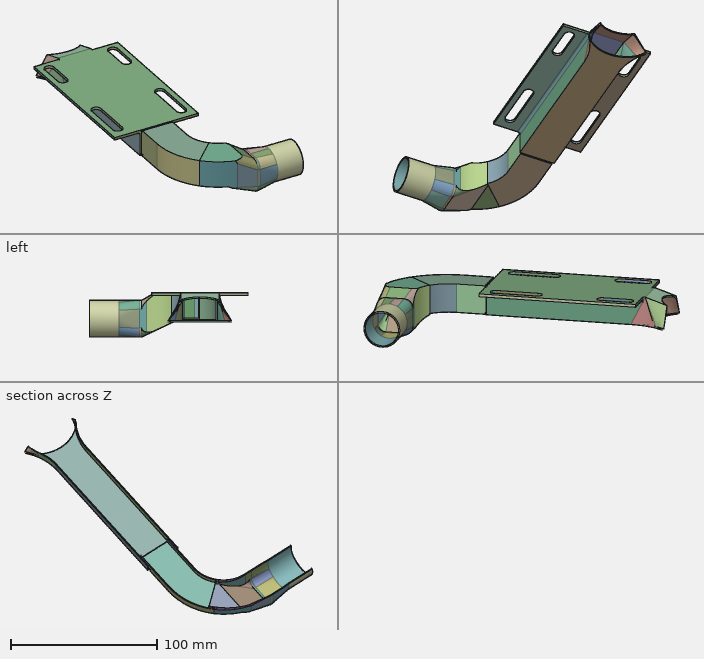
import cadquery as cq
import math


wall = 1.0
duct_width = 24.0
duct_height = 20.2
floor_z = -duct_height

plate_start = 17.0
plate_length = 110.5
plate_width = 66.0
plate_thickness = 2.0
plate_end = plate_start + plate_length
channel_width = duct_width + 2 * wall
side_y = channel_width / 2
side_fillet = 2.0

slot_width = 7.3
slot_offset_y = 25.1
short_slot_length = 25.5
short_slot_x = 33.5
long_slot_length = 36.4
long_slot_x = 103.2

crest_x = 15.2
mouth_top_z = -5.0
tip_y = 22.3
flare_bend_x = 6.1
flare_bend_y = 18.0
flare_end_x = 25.5
roof_notch_depth = 6.3
floor_notch_depth = 11.9

joint_gap = 1.2
spigot_depth = 9.9
elbow_start = plate_end + joint_gap

bend_radius = 36.4
bend_x = 148.6
bend_y = bend_radius
bend_angle = 90.0
seam_angle = bend_angle / 2
seam_width = 25.1
seam_spigot_angle = 5.0

pipe_diameter = 25.3
pipe_bore = 23.3
pipe_x = bend_x + bend_radius
pipe_bottom = -30.5
pipe_z = pipe_bottom + pipe_diameter / 2
pipe_end = 75.5
pipe_start = 55.3

drop_start = 18.2
drop_end = 39.7
neck_end = 41.3
drop_left = 164.7
drop_right = 195.5
drop_top = 7.1
corner_radius = 6.1
sharp_radius = 0.1

outlet_wall = 2 * wall
cover_wall = 3 * wall


def bend_point(angle, offset):
    """Point on the bend, turned by angle from its start, offset away from the bend centre."""
    turn = math.radians(angle)
    radius = bend_radius + offset
    return bend_x + radius * math.sin(turn), bend_y - radius * math.cos(turn)


def prism(outline, bottom, top):
    """Closes an outline and extrudes it between two heights."""
    return outline.close().extrude(top - bottom).translate((0, 0, bottom))


def box(x_range, y_range, z_range):
    """Box between two limits along each axis."""
    (x_min, x_max), (y_min, y_max), (z_min, z_max) = x_range, y_range, z_range
    corner = cq.Workplane("XY", origin=(x_min, y_min, z_min))
    return corner.box(x_max - x_min, y_max - y_min, z_max - z_min, centered=False)


def curved_duct(start_angle, end_angle, start_half, end_half, bottom, top):
    """Solid stretch of the bend whose half width changes from start_half to end_half."""
    middle = (start_angle + end_angle) / 2
    middle_half = (start_half + end_half) / 2
    outline = (
        cq.Workplane("XY")
        .moveTo(*bend_point(start_angle, start_half))
        .threePointArc(bend_point(middle, middle_half), bend_point(end_angle, end_half))
        .lineTo(*bend_point(end_angle, -end_half))
        .threePointArc(bend_point(middle, -middle_half), bend_point(start_angle, -start_half))
    )
    return prism(outline, bottom, top)



def slot(length, x, y):
    return (
        cq.Workplane("XY", origin=(x, y, -plate_thickness))
        .slot2D(length, slot_width)
        .extrude(plate_thickness)
    )


def mounting_plate():
    """Slotted plate with the outside of the channel below it, blended by two long fillets."""
    plate_y = (-plate_width / 2, plate_width / 2)
    plate = box((plate_start, plate_end), plate_y, (-plate_thickness, 0))
    channel = box((plate_start, plate_end), (-side_y, side_y), (floor_z, 0))
    body = plate.union(channel)
    for y in (-side_y, side_y):
        corner = cq.NearestToPointSelector((plate_start + plate_length / 2, y, -plate_thickness))
        body = body.edges(corner).fillet(side_fillet)
    for y in (-slot_offset_y, slot_offset_y):
        body = body.cut(slot(short_slot_length, short_slot_x, y))
        body = body.cut(slot(long_slot_length, long_slot_x, y))
    return body


def nozzle_form(inset, end_x):
    """Solid form of the nozzle up to end_x, with its roof, floor and sides moved in by the inset."""
    top = -inset
    bottom = floor_z + inset
    mouth_top = mouth_top_z - inset
    half = side_y - inset
    bend_half = flare_bend_y - inset
    tip_half = tip_y - inset

    mouth = cq.Wire.makePolygon(
        [(0, -tip_half, bottom), (0, tip_half, bottom), (0, half, mouth_top), (0, -half, mouth_top)],
        close=True,
    )
    throat = cq.Wire.makePolygon(
        [
            (flare_bend_x, -bend_half, bottom),
            (flare_bend_x, bend_half, bottom),
            (crest_x, half, top),
            (crest_x, -half, top),
        ],
        close=True,
    )
    form = cq.Workplane(cq.Solid.makeLoft([mouth, throat], True))

    passage = (
        cq.Workplane("XZ", origin=(0, half, 0))
        .polyline([(flare_bend_x, bottom), (end_x, bottom), (end_x, top), (crest_x, top)])
        .close()
        .extrude(2 * half)
    )
    form = form.union(passage)

    tail_length = flare_end_x - flare_bend_x
    tail_spread = bend_half - half
    tail_radius = (tail_length**2 + tail_spread**2) / (2 * tail_spread)
    half_turn = math.atan2(tail_length, tail_radius - tail_spread) / 2
    tail_middle = (
        flare_end_x - tail_radius * math.sin(half_turn),
        half + tail_radius * (1 - math.cos(half_turn)),
    )
    fan_base = (
        cq.Workplane("XY", origin=(0, 0, bottom))
        .moveTo(flare_bend_x, 0)
        .lineTo(flare_end_x, 0)
        .lineTo(flare_end_x, half)
        .threePointArc(tail_middle, (flare_bend_x, bend_half))
        .close()
        .wires()
        .val()
    )
    crest = cq.Vertex.makeVertex(crest_x, half, top)
    fan = cq.Workplane(cq.occ_impl.shapes.loft(cq.Face.makeFromWires(fan_base), crest, ruled=True))
    return form.union(fan).union(fan.mirror("XZ"))


def mouth_notch(half_width, depth, bottom, top):
    """Upright round cutter that bites depth into the mouth over twice the half width."""
    radius = (half_width**2 + depth**2) / (2 * depth)
    return (
        cq.Workplane("XY", origin=(depth - radius, 0, bottom))
        .circle(radius)
        .extrude(top - bottom)
    )


def make_shoe():
    """Nozzle, channel and plate hollowed out as one body."""
    body = mounting_plate().union(nozzle_form(0, flare_end_x))
    body = body.cut(nozzle_form(wall, plate_end))
    body = body.cut(mouth_notch(side_y, roof_notch_depth, floor_z / 2, 0))
    return body.cut(mouth_notch(tip_y, floor_notch_depth, floor_z, floor_z + wall))



def make_first_elbow():
    """Straight spigot and the first half of the bend, widening towards the seam."""
    half = duct_width / 2
    bore_half = half - wall
    spigot_start = plate_end - spigot_depth
    spigot_bottom = floor_z + wall
    bore_bottom = spigot_bottom + wall
    bore_top = -2 * wall
    seam_half = seam_width / 2

    body = box((elbow_start, bend_x), (-half, half), (floor_z, 0))
    body = body.union(curved_duct(0, seam_angle, half, seam_half, floor_z, 0))
    body = body.union(box((spigot_start, elbow_start), (-half, half), (spigot_bottom, -wall)))
    body = body.cut(box((spigot_start, bend_x), (-bore_half, bore_half), (bore_bottom, bore_top)))
    return body.cut(curved_duct(0, seam_angle, bore_half, seam_half - wall, bore_bottom, bore_top))



def rounded_wire(y, left, right, bottom, top, bottom_radius, top_radius):
    """Rectangle across the pipe at y, with its own radius for the lower and the upper corners."""
    corners = [(left, y, bottom), (right, y, bottom), (right, y, top), (left, y, top)]
    wire = cq.Wire.makePolygon(corners, close=True)
    middle_z = (bottom + top) / 2
    lower_corners = [corner for corner in wire.Vertices() if corner.Z < middle_z]
    wire = wire.fillet2D(bottom_radius, lower_corners)
    upper_corners = [corner for corner in wire.Vertices() if corner.Z > top - sharp_radius]
    return wire.fillet2D(top_radius, upper_corners)


def outlet_wire(y, size, radius):
    half = size / 2
    return rounded_wire(y, pipe_x - half, pipe_x + half, pipe_z - half, pipe_z + half, radius, radius)


def outlet_form(size, radius):
    """Rounded square neck, its change to a circle, and the round pipe."""
    neck = cq.Solid.makeLoft([outlet_wire(y, size, radius) for y in (drop_end, neck_end)], True)
    circle = cq.Wire.makeCircle(size / 2, cq.Vector(pipe_x, pipe_start, pipe_z), cq.Vector(0, 1, 0))
    change = cq.Solid.makeLoft([outlet_wire(neck_end, size, radius), circle], True)
    pipe = cq.Solid.makeCylinder(
        size / 2, pipe_end - pipe_start, cq.Vector(pipe_x, pipe_start, pipe_z), cq.Vector(0, 1, 0)
    )
    return cq.Workplane(neck).union(cq.Workplane(change)).union(cq.Workplane(pipe))


def dropping_form(start_half, end_size, side_wall, cover, radius):
    """Rest of the bend: level at first, then trimmed to a sloping form with rounding corners."""
    level_bottom = floor_z + cover
    level_top = -cover
    bend = curved_duct(seam_angle, bend_angle, start_half, end_size / 2, pipe_bottom, level_top)
    straight_x = (pipe_x - end_size / 2, pipe_x + end_size / 2)
    bend = bend.union(box(straight_x, (bend_y, drop_end), (pipe_bottom, level_top)))
    level = curved_duct(seam_angle, bend_angle, start_half, end_size / 2, level_bottom, level_top)
    beyond = box((0, 2 * pipe_x), (drop_start, pipe_end), (pipe_bottom, 0))
    wide_section = rounded_wire(
        drop_start,
        drop_left + side_wall,
        drop_right - side_wall,
        level_bottom,
        drop_top - cover,
        sharp_radius,
        radius,
    )
    slope = cq.Workplane(cq.Solid.makeLoft([wide_section, outlet_wire(drop_end, end_size, radius)], True))
    return level.cut(beyond).union(bend.intersect(slope))


def make_second_elbow():
    """Second half of the bend with a spigot at the seam and the round pipe at its far end."""
    spigot_half = duct_width / 2 - wall
    bore_half = spigot_half - wall
    spigot_start = seam_angle - seam_spigot_angle
    spigot_bottom = floor_z + outlet_wall
    bore_radius = corner_radius - wall

    body = dropping_form(seam_width / 2, pipe_diameter, 0, 0, corner_radius)
    body = body.union(outlet_form(pipe_diameter, corner_radius))
    body = body.union(
        curved_duct(spigot_start, seam_angle, spigot_half, spigot_half, spigot_bottom, -outlet_wall)
    )
    body = body.cut(
        curved_duct(spigot_start, seam_angle, bore_half, bore_half, floor_z + cover_wall, -cover_wall)
    )
    body = body.cut(dropping_form(bore_half, pipe_bore, outlet_wall, cover_wall, bore_radius))
    return body.cut(outlet_form(pipe_bore, bore_radius))


shoe = make_shoe()
first_elbow = make_first_elbow()
second_elbow = make_second_elbow()

result = cq.Compound.makeCompound(
    [*shoe.solids().vals(), *first_elbow.solids().vals(), *second_elbow.solids().vals()]
)